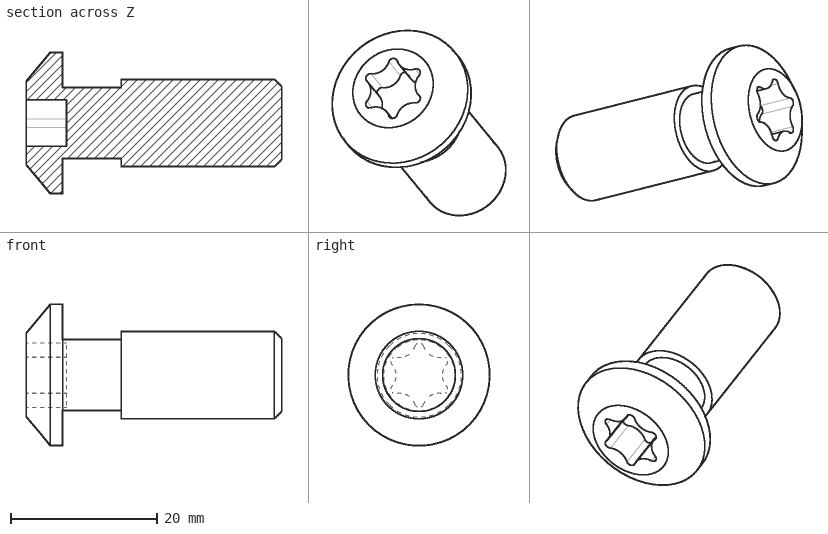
import cadquery as cq
import math

overall_length = 35.0
head_diameter = 19.4
head_face_diameter = 11.5
head_height = 5.0
rim_thickness = 1.7
neck_diameter = 9.75
body_start = 13.0
body_diameter = 12.0
end_chamfer = 1.0

lobe_count = 6
socket_tip_diameter = 8.8
socket_waist_diameter = 6.33
tip_round_radius = 0.62
socket_depth = 5.5


def make_head_and_shank():
    """Revolve the half profile of the whole screw about the X axis."""
    head_radius = head_diameter / 2
    face_radius = head_face_diameter / 2
    neck_radius = neck_diameter / 2
    body_radius = body_diameter / 2
    cone_height = head_height - rim_thickness

    profile = (
        cq.Workplane("XZ")
        .lineTo(0, face_radius)
        .lineTo(cone_height, head_radius)
        .lineTo(head_height, head_radius)
        .lineTo(head_height, neck_radius)
        .lineTo(body_start, neck_radius)
        .lineTo(body_start, body_radius)
        .lineTo(overall_length - end_chamfer, body_radius)
        .lineTo(overall_length, body_radius - end_chamfer)
        .lineTo(overall_length, 0)
        .close()
    )
    return profile.revolve(360, (0, 0, 0), (1, 0, 0))


def polar(radius, angle):
    """Return the point at a radius and angle from the origin."""
    return (radius * math.cos(angle), radius * math.sin(angle))


def make_socket():
    """Six rounded tips joined by tangent hollow flutes, with tips on the Z axis."""
    pitch = 2 * math.pi / lobe_count
    tip_radius = socket_tip_diameter / 2
    waist_radius = socket_waist_diameter / 2
    tip_center_radius = tip_radius - tip_round_radius

    cos_half = math.cos(pitch / 2)
    flute_radius = (
        tip_center_radius**2
        + waist_radius**2
        - 2 * tip_center_radius * waist_radius * cos_half
        - tip_round_radius**2
    ) / (2 * (tip_round_radius + tip_center_radius * cos_half - waist_radius))
    flute_center_radius = waist_radius + flute_radius
    tangent_share = tip_round_radius / (tip_round_radius + flute_radius)

    def tangent_point(tip_angle, flute_angle):
        tip_y, tip_z = polar(tip_center_radius, tip_angle)
        flute_y, flute_z = polar(flute_center_radius, flute_angle)
        return (
            tip_y + tangent_share * (flute_y - tip_y),
            tip_z + tangent_share * (flute_z - tip_z),
        )

    first_tip = math.pi / 2
    outline = cq.Workplane("YZ").moveTo(*tangent_point(first_tip, first_tip - pitch / 2))
    for lobe in range(lobe_count):
        tip = first_tip + lobe * pitch
        flute = tip + pitch / 2
        outline = outline.threePointArc(polar(tip_radius, tip), tangent_point(tip, flute))
        outline = outline.threePointArc(polar(waist_radius, flute), tangent_point(tip + pitch, flute))
    return outline.close().extrude(socket_depth)


result = make_head_and_shank().cut(make_socket())